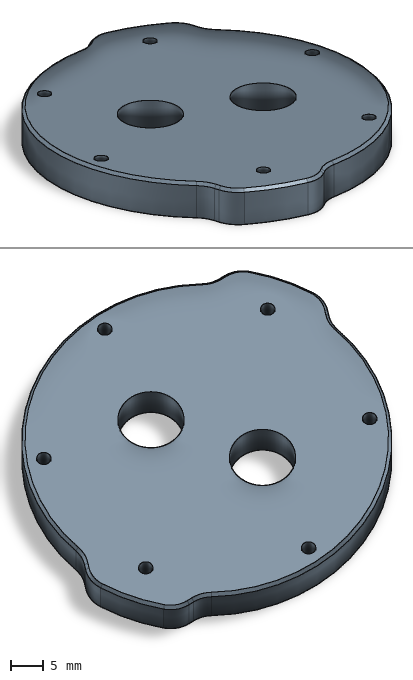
import cadquery as cq
import math

thickness = 6.0
disc_radius = 28.6
lug_radius = 31.55
blend_radius = 5.0
flank_normal_angle = 57.5
flank_distance = 22.8
top_chamfer = 0.5

large_hole_diameter = 10.2
large_hole_offset = 9.3
screw_hole_diameter = 2.2
screw_circle_radius = 25.4
screw_count = 6


def polar(radius, angle, center=(0, 0)):
    """Point at a radius and an angle in degrees about a center."""
    turn = math.radians(angle)
    return (center[0] + radius * math.cos(turn), center[1] + radius * math.sin(turn))


corner_center_radius = lug_radius - blend_radius
root_center_radius = disc_radius + blend_radius
corner_angle = flank_normal_angle - math.degrees(
    math.acos((flank_distance - blend_radius) / corner_center_radius)
)
root_angle = flank_normal_angle - math.degrees(
    math.acos((flank_distance + blend_radius) / root_center_radius)
)
corner_center = polar(corner_center_radius, corner_angle)
root_center = polar(root_center_radius, root_angle)

lug_end = polar(lug_radius, corner_angle)
corner_mid = polar(blend_radius, (corner_angle + flank_normal_angle) / 2, corner_center)
flank_start = polar(blend_radius, flank_normal_angle, corner_center)
flank_end = polar(-blend_radius, flank_normal_angle, root_center)
root_mid = polar(-blend_radius, (root_angle + flank_normal_angle) / 2, root_center)
disc_start = polar(disc_radius, root_angle)


def mirror_x(point):
    return (-point[0], point[1])


def mirror_y(point):
    return (point[0], -point[1])


def rotate_half_turn(point):
    return (-point[0], -point[1])


def add_lug_side_inward(outline, place):
    """Follow one lug side from the lug arc to the disc."""
    return (
        outline.threePointArc(place(corner_mid), place(flank_start))
        .lineTo(*place(flank_end))
        .threePointArc(place(root_mid), place(disc_start))
    )


def add_lug_side_outward(outline, place):
    """Follow one lug side from the disc to the lug arc."""
    return (
        outline.threePointArc(place(root_mid), place(flank_end))
        .lineTo(*place(flank_start))
        .threePointArc(place(corner_mid), place(lug_end))
    )


outline = cq.Workplane("XY").moveTo(*lug_end)
outline = add_lug_side_inward(outline, lambda point: point)
outline = outline.threePointArc((0, disc_radius), mirror_x(disc_start))
outline = add_lug_side_outward(outline, mirror_x)
outline = outline.threePointArc((-lug_radius, 0), rotate_half_turn(lug_end))
outline = add_lug_side_inward(outline, rotate_half_turn)
outline = outline.threePointArc((0, -disc_radius), mirror_y(disc_start))
outline = add_lug_side_outward(outline, mirror_y)
outline = outline.threePointArc((lug_radius, 0), lug_end)

plate = outline.close().extrude(thickness).faces(">Z").chamfer(top_chamfer)

large_holes = (
    cq.Workplane("XY")
    .pushPoints([(0, large_hole_offset), (0, -large_hole_offset)])
    .circle(large_hole_diameter / 2)
    .extrude(thickness)
)
screw_holes = (
    cq.Workplane("XY")
    .polarArray(screw_circle_radius, 0, 360, screw_count)
    .circle(screw_hole_diameter / 2)
    .extrude(thickness)
)

result = plate.cut(large_holes).cut(screw_holes)